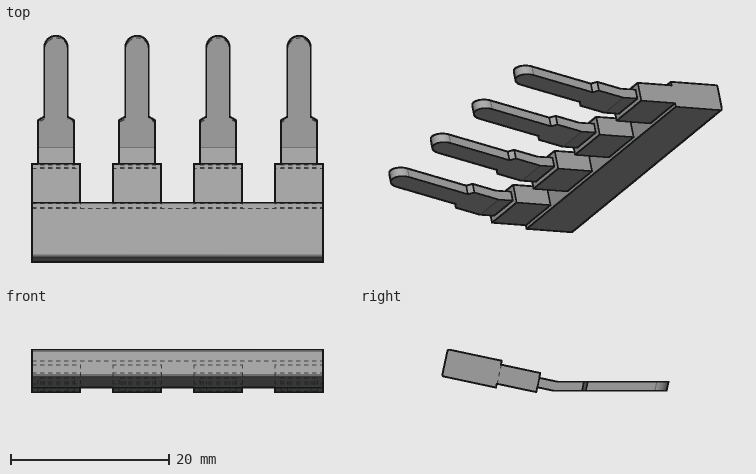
import cadquery as cq
import math


pin_count = 4
pin_pitch = 10.25
pad_width = 6.1
bar_width = (pin_count - 1) * pin_pitch + pad_width
tilt = math.radians(12)

pad_length = 5.1
pad_thickness = 2.5
bar_length = 7.0
step_height = 0.5
body_length = pad_length + bar_length
edge_radius = 0.25

pin_thickness = 1.25
neck_length = 2.3
root_depth = 1.0
blade_length = 14.1
tip_width = 3.0
shank_width = 4.6
shoulder_distance = 10.23
shoulder_length = 0.47


def tilted_point(along, across):
    """(Y, Z) of a point given along the tilted bar and square to it, from the pad's lower front edge."""
    y = across * math.sin(tilt) - along * math.cos(tilt)
    z = across * math.cos(tilt) + along * math.sin(tilt)
    return y, z


def extrude_across(outline, width, x_center=0):
    """Extrude a closed (Y, Z) outline along X, centred on x_center."""
    start = x_center - width / 2
    return cq.Workplane("YZ", origin=(start, 0, 0)).polyline(outline).close().extrude(width)


def tilted_block(along_start, along_end, across_start, across_end, width, x_center=0):
    """Rectangular block lying in the tilted direction."""
    corners = [
        tilted_point(along_start, across_start),
        tilted_point(along_end, across_start),
        tilted_point(along_end, across_end),
        tilted_point(along_start, across_end),
    ]
    return extrude_across(corners, width, x_center)


def make_bar():
    """Thick rear bar with its two long rear edges rounded."""
    bar = tilted_block(pad_length, body_length, -step_height, pad_thickness + step_height, bar_width)
    return bar.faces("<Y").edges("|X").fillet(edge_radius)


def make_pad(x_center):
    """Thinner pad reaching forward from the bar, overlapping it to join."""
    pad_end = pad_length + bar_length / 2
    return tilted_block(0, pad_end, 0, pad_thickness, pad_width, x_center)


def make_pin(x_center):
    """Bent strip trimmed to the pin outline, which is cut square to the tilted direction."""
    pin_bottom = (pad_thickness - pin_thickness) / 2
    pin_top = pin_bottom + pin_thickness
    bend_shift = pin_thickness * math.tan(tilt / 2)
    top_bend = tilted_point(-neck_length, pin_top)
    bottom_bend = tilted_point(bend_shift - neck_length, pin_bottom)
    tip_y = top_bend[0] + blade_length
    side_outline = [
        tilted_point(root_depth, pin_bottom),
        bottom_bend,
        (tip_y, bottom_bend[1]),
        (tip_y, top_bend[1]),
        top_bend,
        tilted_point(root_depth, pin_top),
    ]
    strip = extrude_across(side_outline, shank_width, x_center)

    outline_plane = cq.Plane(
        origin=(x_center, tip_y, top_bend[1]),
        xDir=(1, 0, 0),
        normal=(0, math.sin(tilt), math.cos(tilt)),
    )
    tip_radius = tip_width / 2
    half_shank = shank_width / 2
    shoulder_start = shoulder_distance * math.cos(tilt)
    shoulder_end = shoulder_start + shoulder_length
    outline_end = blade_length + neck_length + 2 * root_depth
    cutter_reach = blade_length / 2
    outline = (
        cq.Workplane(outline_plane)
        .moveTo(-tip_radius, -tip_radius)
        .threePointArc((0, 0), (tip_radius, -tip_radius))
        .lineTo(tip_radius, -shoulder_start)
        .lineTo(half_shank, -shoulder_end)
        .lineTo(half_shank, -outline_end)
        .lineTo(-half_shank, -outline_end)
        .lineTo(-half_shank, -shoulder_end)
        .lineTo(-tip_radius, -shoulder_start)
        .close()
        .extrude(cutter_reach, both=True)
    )
    return strip.intersect(outline)


result = make_bar()
for index in range(pin_count):
    pin_x = (index - (pin_count - 1) / 2) * pin_pitch
    result = result.union(make_pad(pin_x)).union(make_pin(pin_x))